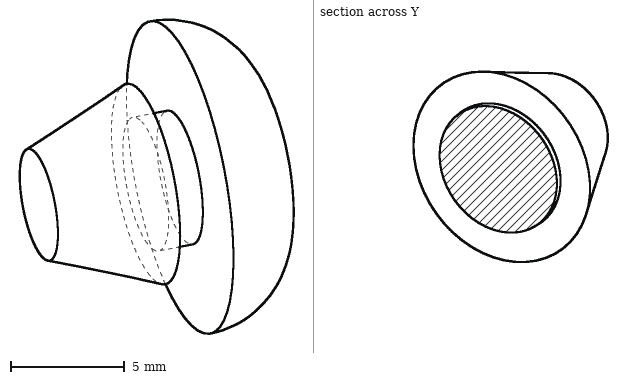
import cadquery as cq
import math

head_radius = 7.0
head_thickness = 4.0
neck_radius = 3.0
neck_length = 1.6
cone_base_radius = 4.5
cone_tip_radius = 2.5
cone_length = 5.0

head_top = head_thickness
cone_base = -neck_length
cone_tip = cone_base - cone_length

flat_radius = head_radius - head_thickness
rim_mid_offset = head_thickness * math.sin(math.radians(45))
rim_mid = (flat_radius + rim_mid_offset, rim_mid_offset)

profile = (
    cq.Workplane("XY")
    .moveTo(0, cone_tip)
    .lineTo(cone_tip_radius, cone_tip)
    .lineTo(cone_base_radius, cone_base)
    .lineTo(neck_radius, cone_base)
    .lineTo(neck_radius, 0)
    .lineTo(head_radius, 0)
    .threePointArc(rim_mid, (flat_radius, head_top))
    .lineTo(0, head_top)
    .close()
)

result = profile.revolve(360, (0, 0, 0), (0, 1, 0))